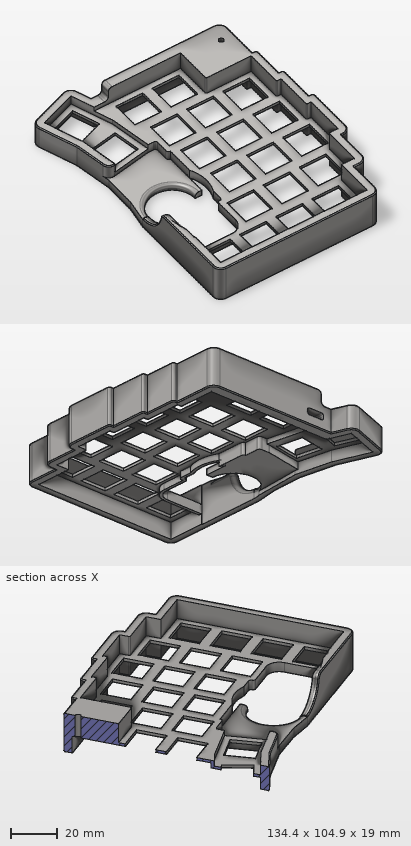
import cadquery as cq
import math


case_height = 19.0
plate_top = 9.7
plate_thickness = 1.5
plate_underside = plate_top - plate_thickness
thumb_wall_top = 12.0
shelf_top = 5.0
shelf_underside = 2.0
thumb_plate_top = 7.2
thumb_underside = thumb_plate_top - plate_thickness

key_pitch = 19.0
key_opening = 14.0
key_margin = 10.0
column_first_key = [0.0, 4.75, 7.125, 9.5, 4.75, -21.0]
column_key_count = [2, 3, 3, 3, 3, 4]
column_x = [key_pitch * i for i in range(len(column_first_key))]
column_top = [
    first + key_pitch * (count - 1) + key_margin
    for first, count in zip(column_first_key, column_key_count)
]

wall = 4.0
skirt = 1.5
outer_left = -15.5
block_back = 54.5
block_right = 7.4
inner_left = column_x[0] - key_margin
inner_right = column_x[5] + key_margin
inner_front = column_first_key[5] - key_margin
outer_right = inner_right + wall
outer_front = inner_front - wall
corner_radius = 4.0
step_radius = 1.2
inner_step_radius = 0.6
rim_chamfer = 0.5

left_step_y = -9.0
left_step_radius = 2.0

left_thumb_center = (-8.55, -26.58)
left_thumb_angle = 20.0
right_thumb_center = (12.15, -21.0)
right_thumb_angle = 10.0
thumb_wall_end_radius = 3.4

ball_x = 52.5
ball_hole_radius = 12.0
ball_y = -19.4
ball_clearance_radius = 18.0
ball_rim_fillet = 2.0
runout_start = 72.0
runout_end = 80.0
scoop_radius = case_height - shelf_top - rim_chamfer
scoop_shoulder_radius = 3.0
hole_front = ball_y - ball_hole_radius
hole_right = 85.6
hole_corner_radius = 6.0
shelf_back = -3.9
plate_front_low = column_first_key[1] - key_margin
plate_front_high = column_first_key[2] - key_margin
shelf_step_x = 29.0
plate_corner_radius = 1.2
hole_step_x = column_x[4] - key_margin
shelf_front = -33.2
shelf_front_x = 41.0

reset_hole_diameter = 2.5
reset_hole_center = (-6.3, 47.8)
side_slot_length = 9.3
side_slot_height = 3.3
side_slot_radius = 1.2
side_slot_y = -5.2
side_slot_z = 6.35

below = -1.0
above = 2 * case_height
far_left = -outer_right
far_right = 2 * outer_right
far_front = 2 * outer_front
far_back = 2 * block_back

tolerance = 0.001


def prism(points, bottom, top):
    return cq.Workplane("XY", origin=(0, 0, bottom)).polyline(points).close().extrude(top - bottom)


def box(x0, x1, y0, y1, z0, z1):
    return cq.Workplane("XY").box(x1 - x0, y1 - y0, z1 - z0, centered=False).translate((x0, y0, z0))


def cylinder(center, radius, bottom, top):
    return cq.Workplane("XY", origin=(*center, bottom)).circle(radius).extrude(top - bottom)


def round_corners(body, corners, radius, z):
    """Fillet the vertical edges that stand at the given plan corners and cross height z."""
    for x, y in corners:
        body = body.edges("|Z").edges(cq.NearestToPointSelector((x, y, z))).fillet(radius)
    return body


def tilted(center, angle, dx, dy):
    """Plan point at offset (dx, dy) in a frame turned by angle about a key centre."""
    c = math.cos(math.radians(angle))
    s = math.sin(math.radians(angle))
    return (center[0] + c * dx - s * dy, center[1] + s * dx + c * dy)


def polar(center, radius, angle):
    return (center[0] + radius * math.cos(angle), center[1] + radius * math.sin(angle))


def crossing(a, b, c, d):
    """Intersection of the line through a and b with the line through c and d."""
    ux, uy = b[0] - a[0], b[1] - a[1]
    vx, vy = d[0] - c[0], d[1] - c[1]
    t = ((c[0] - a[0]) * vy - (c[1] - a[1]) * vx) / (ux * vy - uy * vx)
    return (a[0] + t * ux, a[1] + t * uy)


def key_corners(center, angle, margin):
    """Corners of a tilted square around a key: back left, back right, front right, front left."""
    signs = ((-1, 1), (1, 1), (1, -1), (-1, -1))
    return [tilted(center, angle, sx * margin, sy * margin) for sx, sy in signs]


def thumb_outline(margin):
    """Outline around both thumb keys: back left, bend, right, then front right, bend, left."""
    left = key_corners(left_thumb_center, left_thumb_angle, margin)
    right = key_corners(right_thumb_center, right_thumb_angle, margin)
    back_bend = crossing(left[0], left[1], right[0], right[1])
    front_bend = crossing(left[3], left[2], right[3], right[2])
    return [left[0], back_bend, right[1], right[2], front_bend, left[3]]


thumb_inner = thumb_outline(key_margin)
thumb_outer = thumb_outline(key_margin + wall)
thumb_back_right = thumb_inner[2]
thumb_wall_end = tilted(right_thumb_center, right_thumb_angle, key_margin, -key_margin - wall)
inner_left_corner = crossing(thumb_inner[0], thumb_inner[1], (inner_left, 0), (inner_left, 1))
outer_left_corner = crossing(thumb_outer[0], thumb_outer[1], (outer_left, 0), (outer_left, 1))


def stepped_back(offset):
    """Back outline of columns 2 to 6, left to right, offset outward from the inner wall."""
    columns = range(1, len(column_x))
    tallest = column_top.index(max(column_top))
    points = []
    for i in columns:
        if i <= tallest:
            points.append((column_x[i] - key_margin - offset, column_top[i] + offset))
            if i < tallest:
                points.append((column_x[i + 1] - key_margin - offset, column_top[i] + offset))
        if i >= tallest:
            points.append((column_x[i] + key_margin + offset, column_top[i] + offset))
            if i < columns[-1]:
                points.append((column_x[i] + key_margin + offset, column_top[i + 1] + offset))
    return points


def outer_body():
    """Solid blank with the full outer outline."""
    back = stepped_back(wall)
    back[0] = (block_right, back[0][1])
    outline = [(outer_left, block_back), (block_right, block_back)] + back
    outline += [(outer_right, outer_front), (ball_x, outer_front), (shelf_front_x, shelf_front)]
    outline += [thumb_wall_end, thumb_outer[4], thumb_outer[5], thumb_outer[0], outer_left_corner]
    body = prism(outline, 0, case_height)
    large = [(outer_left, block_back), (outer_right, outer_front), thumb_outer[5], thumb_outer[0]]
    large += [back[5], back[7], back[9]]
    body = round_corners(body, large, corner_radius, case_height / 2)
    return round_corners(body, (back[0], back[2], back[4]), step_radius, case_height / 2)


def thumb_level_cut():
    """Everything above the thumb wall and in front of the step in the left wall."""
    block = box(far_left, ball_x, far_front, left_step_y, thumb_wall_top, above)
    block = block.edges("|X and >Y and <Z").fillet(left_step_radius)
    shoulder = box(far_left, ball_x, left_step_y,
                   left_step_y + left_step_radius, case_height - left_step_radius, case_height)
    roll = (cq.Workplane("YZ", origin=(far_left, 0, 0))
            .center(left_step_y + left_step_radius, case_height - left_step_radius)
            .circle(left_step_radius).extrude(ball_x - far_left))
    return block.union(shoulder.cut(roll))


def shelf_area(bottom, top, grow=0.0, relief=True):
    """Plan area in front of the key plate: the trackball shelf, its hole and the ball relief."""
    wall_line_end = tilted(right_thumb_center, right_thumb_angle, key_margin, -2 * key_margin)
    back_left = (thumb_back_right[0], plate_front_low)
    shelf_step = (shelf_step_x, plate_front_low)
    hole_step = [(hole_step_x, plate_front_high), (hole_step_x, plate_front_low)]
    hole_back = (hole_right, plate_front_low)
    outline = [thumb_back_right, back_left, shelf_step, (shelf_step_x, shelf_back), (ball_x, shelf_back)]
    outline += [(ball_x, plate_front_high)] + hole_step
    outline += [hole_back, (hole_right, far_front), (wall_line_end[0], far_front), wall_line_end]
    area = prism(outline, bottom, top)
    middle = (bottom + top) / 2
    area = round_corners(area, [hole_back], hole_corner_radius, middle)
    if not grow:
        area = round_corners(area, [back_left, shelf_step] + hole_step, plate_corner_radius, middle)
    if relief:
        circle = cylinder((ball_x, ball_y), ball_clearance_radius, bottom, top)
        area = area.union(circle.intersect(box(far_left, far_right, ball_y, far_back, bottom, top)))
    if grow:
        base = area.faces("<Z").wires().toPending().workplane(invert=True)
        area = base.offset2D(grow).extrude(top - bottom)
    return area


def scoop_profile():
    """Space above the shelf, closed on the right by the arc that climbs to the front wall."""
    shoulder_z = case_height - scoop_shoulder_radius
    reach = scoop_radius + scoop_shoulder_radius
    shoulder_x = ball_x + math.sqrt(reach ** 2 - scoop_shoulder_radius ** 2)
    contact = (ball_x + (shoulder_x - ball_x) * scoop_radius / reach,
               case_height - scoop_shoulder_radius * scoop_radius / reach)
    climb = math.atan2(case_height - contact[1], contact[0] - ball_x)
    arc_middle = polar((ball_x, case_height), scoop_radius, -(climb + math.pi / 2) / 2)
    shoulder_middle = polar((shoulder_x, shoulder_z), scoop_shoulder_radius,
                            (math.pi - climb + math.pi / 2) / 2)
    return (cq.Workplane("XZ", origin=(0, far_back, 0))
            .moveTo(0, shelf_top).lineTo(ball_x, shelf_top).lineTo(ball_x, case_height - scoop_radius)
            .threePointArc(arc_middle, contact)
            .threePointArc(shoulder_middle, (shoulder_x, case_height))
            .lineTo(shoulder_x, above).lineTo(0, above).close()
            .extrude(far_back - far_front))


def chamfer_rims(body, sides):
    """Chamfer the outer upper rim and the bottom rim, which lie on the outer side faces."""
    side_faces = cq.Compound.makeCompound(sides.vals())

    def on_rim(edge):
        middle = edge.positionAt(0.5)
        upright = abs(edge.tangentAt(0.5).z) > 1 - tolerance and edge.geomType() == "LINE"
        outside = cq.Vertex.makeVertex(*middle.toTuple()).distance(side_faces) < tolerance
        low = middle.z < tolerance
        return outside and not upright and (low or middle.z > shelf_top + tolerance)

    rims = [edge for edge in body.edges().vals() if on_rim(edge)]
    return body.newObject(rims).chamfer(rim_chamfer)


def main_area(bottom, top):
    """Plan area inside the walls, without the thumb cluster."""
    back = stepped_back(0)
    block_corner = (back[0][0], column_top[0])
    outline = [(inner_left, column_top[0]), block_corner] + back
    outline += [(inner_right, inner_front), (ball_x, inner_front), thumb_inner[3], thumb_back_right]
    outline += [thumb_inner[1], inner_left_corner]
    area = prism(outline, bottom, top)
    corners = [block_corner, back[1], back[3], back[6]]
    return round_corners(area, corners, inner_step_radius, (bottom + top) / 2)


def ball_hole():
    """Opening for the trackball: round on the left, straight to the right."""
    right_side = box(ball_x, far_right, hole_front, far_back, below, above)
    half_round = cylinder((ball_x, ball_y), ball_hole_radius, below, above).cut(right_side)
    straight = shelf_area(below, above).intersect(right_side)
    clearance = cylinder((ball_x, ball_y), ball_clearance_radius, below, above)
    gap = clearance.intersect(box(far_left, ball_x, shelf_back, far_back, below, above))
    return half_round.union(straight).union(gap)


def underside_cavity():
    """Hollow below the plates; skirts hang where a plate borders a lower level."""
    cavity = main_area(0, plate_underside)
    cavity = cavity.union(box(inner_left, column_x[1], 0, block_back - wall, 0, plate_underside))
    cavity = cavity.cut(prism(thumb_outline(key_margin + skirt), thumb_underside, plate_top))
    cavity = cavity.union(prism(thumb_inner, 0, thumb_underside))
    shelf = shelf_area(shelf_underside, shelf_top, skirt, relief=False)
    shelf = shelf.intersect(box(far_left, ball_x, far_front, far_back, 0, case_height))
    clearance = cylinder((ball_x, ball_y), ball_clearance_radius + skirt, 0, case_height)
    behind_shelf = box(far_left, far_right, shelf_back, far_back, 0, case_height)
    shelf = shelf.cut(clearance.intersect(behind_shelf))
    return cavity.cut(shelf).cut(shelf_area(shelf_top, plate_top, skirt))


def key_openings():
    """Square through openings for all keys."""
    cutter = box(-key_opening / 2, key_opening / 2, -key_opening / 2, key_opening / 2, 0, above)
    openings = [
        cutter.translate((x, first + key_pitch * row, 0)).val()
        for x, first, count in zip(column_x, column_first_key, column_key_count)
        for row in range(count)
    ]
    for center, angle in ((left_thumb_center, left_thumb_angle), (right_thumb_center, right_thumb_angle)):
        openings.append(cutter.rotate((0, 0, 0), (0, 0, 1), angle).translate((*center, 0)).val())
    return cq.Workplane("XY").newObject([cq.Compound.makeCompound(openings)])


def side_slot():
    """Slot through the left wall."""
    slot = cq.Workplane("XY").box(2 * (inner_left - outer_left), side_slot_length, side_slot_height)
    slot = slot.edges("|X").fillet(side_slot_radius)
    return slot.translate(((inner_left + outer_left) / 2, side_slot_y, side_slot_z))


def fillet_ball_rim(body):
    """Round the inner edge of the shelf and of the scoop; the rounding tapers out to the right."""
    shelf_rim = polar((ball_x, ball_y), ball_hole_radius, math.pi)
    scoop_rim = polar((ball_x, case_height), scoop_radius, -math.pi / 4)
    for rim_point in ((*shelf_rim, shelf_top), (scoop_rim[0], hole_front, scoop_rim[1])):
        rim = min(body.edges().vals(),
                  key=lambda edge: edge.distance(cq.Vertex.makeVertex(*rim_point)))
        body = body.newObject([rim]).fillet(ball_rim_fillet)
    start = (runout_start, hole_front - ball_rim_fillet)
    refill = prism([start, (runout_end, hole_front), (inner_right, hole_front), (inner_right, start[1])],
                   shelf_top, case_height)
    return body.union(refill)


blank = outer_body()
result = blank.cut(thumb_level_cut())
result = result.cut(shelf_area(shelf_top, above).intersect(scoop_profile()))

result = result.cut(main_area(plate_top, above))
result = result.cut(prism(thumb_inner, thumb_plate_top, above))
result = round_corners(result, [thumb_wall_end], thumb_wall_end_radius, thumb_plate_top)
result = chamfer_rims(result, blank.faces("#Z"))

result = result.cut(ball_hole())
result = fillet_ball_rim(result)

result = result.cut(underside_cavity())
result = result.cut(key_openings())
result = result.cut(side_slot())
result = result.cut(cylinder(reset_hole_center, reset_hole_diameter / 2, below, above))